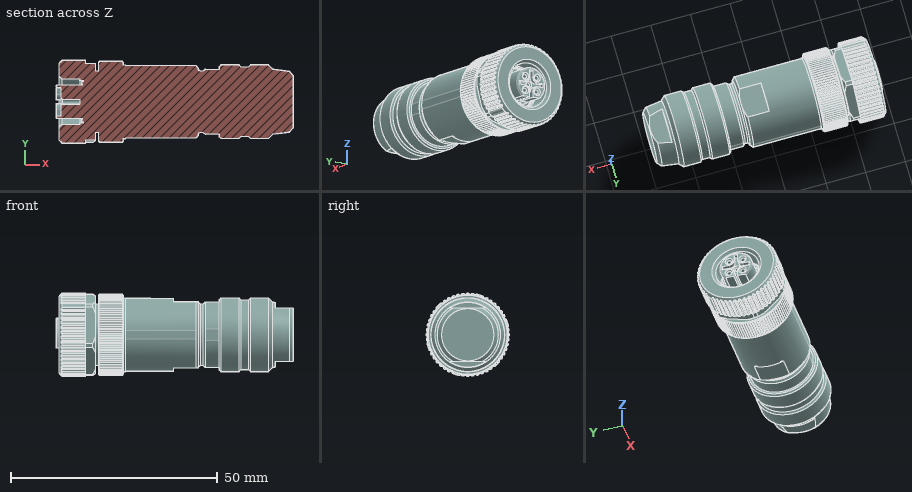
import cadquery as cq
import math

LENGTH = 57.6

NUT_FRONT = 0.7
NUT_KNURL_END = 7.2
NUT_END = 9.6
NUT_RADIUS = 20.2 / 2
NUT_FACE_RADIUS = 9.35
NUT_REAR_RADIUS = 9.4
NUT_GROOVES = 52
NUT_GROOVE_DEPTH = 0.3
NUT_CREST_SHARE = 0.3
NUT_ROOT_SHARE = 0.25
HEX_ACROSS_FLATS = 18.0
HEX_CORNER_ANGLE = 45.0

SOCKET_RADIUS = 10.95 / 2
SOCKET_MOUTH_RADIUS = 6.2
SOCKET_FLOOR_RADIUS = 5.1
SOCKET_STEP_X = 5.75
SOCKET_FLOOR_X = 6.6
SEAL_RADIUS = 4.55
SEAL_TUBE_RADIUS = 0.45

INSERT_RADIUS = 4.1
INSERT_ROUNDING = 0.35
INSERT_FLAT_Z = -3.2
INSERT_FLAT_END = 5.2
KEY_NOTCH_HALF_WIDTH = 0.6
KEY_NOTCH_Z = -3.6
KEY_NOTCH_DEPTH = 0.3
CROSS_HALF_WIDTH = 0.45
CROSS_REACH = 3.4
CROSS_DEPTH = 1.15
CONTACT_OFFSET = 1.7
CONTACT_BORE = 1.1
CONTACT_MOUTH = 1.85
CENTRE_MOUTH = 1.65
CONTACT_MOUTH_DEPTH = 0.4
CONTACT_DEPTH = 4.6

NECK_RADIUS = 15.0 / 2
RING_START = 10.25
RING_END = 16.35
RING_RADIUS = 9.85
RING_CHAMFER = 0.3
RING_GROOVES = 100
RING_GROOVE_DEPTH = 0.3

COLLAR_RADIUS = 18.0 / 2
COLLAR_END = 16.9
SLEEVE_RADIUS = 8.85
SLEEVE_TAPER_START = 33.9
SLEEVE_TAPER_END = 34.55
SLEEVE_TAPER_RADIUS = 8.1
SLEEVE_FOOT_RADIUS = 7.8
SLEEVE_END = 35.0
SIDE_FLAT_Y = 8.8
SIDE_FLAT_END = 34.0
WRENCH_FLAT_Z = 8.05
WRENCH_FLAT_START = 28.5

SHOULDER_START = 35.65
SHOULDER_CHAMFER_END = 36.25
SHOULDER_RADIUS = 8.0
SHOULDER_FLAT_Y = 7.9

CLAMP_START = 39.6
CLAMP_RADIUS = 18.0 / 2
CLAMP_CHAMFER = 0.45
WAIST_RADIUS = 17.0 / 2
WAIST_START = 44.35
WAIST_END = 47.25
CLAMP_TAPER_START = 51.5
CLAMP_END = 52.55

OUTLET_RADIUS = 7.95
OUTLET_RIM_X = 56.6
OUTLET_RIM_RADIUS = 14.8 / 2
OUTLET_END_RADIUS = 6.35
OUTLET_FLAT_START = 53.2
OUTLET_FLAT_Z = 6.5

CLEARANCE = 2.9


def revolve(points):
    """Turn a closed (x, radius) outline about the X axis."""
    return cq.Workplane("XY").polyline(points).close().revolve(360, (0, 0, 0), (1, 0, 0))


def cross_plane(x):
    """Plane across the axis: local x is -Y and local y is +Z, extruding toward -X."""
    return cq.Workplane(cq.Plane(origin=(x, 0, 0), xDir=(0, -1, 0), normal=(-1, 0, 0)))


def disc(x_start, x_end, radius):
    return cross_plane(x_end).circle(radius).extrude(x_end - x_start)


def box(x_range, y_range, z_range):
    size = [end - start for start, end in (x_range, y_range, z_range)]
    corner = (x_range[0], y_range[0], z_range[0])
    return cq.Workplane("XY").box(*size, centered=False).translate(corner)


def polar(radius, degrees):
    angle = math.radians(degrees)
    return (radius * math.cos(angle), radius * math.sin(angle))


def knurl(x_start, x_end, radius, depth, count, crest_share=0, root_share=0, plain_angles=()):
    """Bar grooved along its length, with a crest centred on each whole pitch.

    The groove is left out where its middle lies close to one of the plain angles.
    """
    pitch = 360.0 / count
    half_crest = pitch * crest_share / 2
    half_root = pitch * root_share / 2
    points = []
    for index in range(count):
        crest = index * pitch
        root = crest + pitch / 2
        crest_angles = (crest - half_crest, crest + half_crest) if half_crest else (crest,)
        root_angles = (root - half_root, root + half_root) if half_root else (root,)
        points += [polar(radius, angle) for angle in crest_angles]
        if all(abs(root - plain) > pitch / 2 for plain in plain_angles):
            points += [polar(radius - depth, angle) for angle in root_angles]
    return cross_plane(x_end).polyline(points).close().extrude(x_end - x_start)


def flat_pair(solid, axis, distance, x_start, x_end):
    """Cut two opposite flats at +-distance along the given axis ("Y" or "Z")."""
    reach = NUT_RADIUS + CLEARANCE
    for side in (-1, 1):
        across = tuple(sorted((side * distance, side * reach)))
        along = (-reach, reach)
        y_range, z_range = (across, along) if axis == "Y" else (along, across)
        solid = solid.cut(box((x_start, x_end), y_range, z_range))
    return solid


def coupling_nut():
    envelope = revolve([
        (NUT_FRONT, 0),
        (NUT_FRONT, NUT_FACE_RADIUS),
        (NUT_FRONT + NUT_RADIUS - NUT_FACE_RADIUS, NUT_RADIUS),
        (NUT_END - (NUT_RADIUS - NUT_REAR_RADIUS), NUT_RADIUS),
        (NUT_END, NUT_REAR_RADIUS),
        (NUT_END, 0),
    ])
    grip = knurl(
        NUT_FRONT, NUT_KNURL_END, NUT_RADIUS, NUT_GROOVE_DEPTH, NUT_GROOVES,
        NUT_CREST_SHARE, NUT_ROOT_SHARE,
        plain_angles=(HEX_CORNER_ANGLE, HEX_CORNER_ANGLE + 180),
    )
    corner_radius = HEX_ACROSS_FLATS / 2 / math.cos(math.radians(30))
    corners = [polar(corner_radius, HEX_CORNER_ANGLE + 60 * index) for index in range(6)]
    hexagon = cross_plane(NUT_END).polyline(corners).close().extrude(NUT_END - NUT_KNURL_END)
    return grip.union(hexagon).intersect(envelope)


def socket():
    mouth_depth = SOCKET_MOUTH_RADIUS - SOCKET_RADIUS
    return revolve([
        (NUT_FRONT, 0),
        (NUT_FRONT, SOCKET_MOUTH_RADIUS),
        (NUT_FRONT + mouth_depth, SOCKET_RADIUS),
        (SOCKET_STEP_X, SOCKET_RADIUS),
        (SOCKET_STEP_X, SOCKET_FLOOR_RADIUS),
        (SOCKET_FLOOR_X, SOCKET_FLOOR_RADIUS),
        (SOCKET_FLOOR_X, 0),
    ])


def seal():
    return (
        cq.Workplane("XY")
        .center(SOCKET_FLOOR_X, SEAL_RADIUS)
        .circle(SEAL_TUBE_RADIUS)
        .revolve(360, (0, -SEAL_RADIUS, 0), (1, -SEAL_RADIUS, 0))
    )


def contact_hole(mouth, y, z):
    hole = revolve([
        (0, 0),
        (0, mouth / 2),
        (CONTACT_MOUTH_DEPTH, CONTACT_BORE / 2),
        (CONTACT_DEPTH, CONTACT_BORE / 2),
        (CONTACT_DEPTH, 0),
    ])
    return hole.translate((0, y, z))


def cross_recess():
    """Cross between the contacts; its inner corners are rounded about the contacts."""
    reach = CROSS_REACH
    half = CROSS_HALF_WIDTH
    depth = (0, CROSS_DEPTH)
    recess = box(depth, (-reach, reach), (-half, half))
    recess = recess.union(box(depth, (-half, half), (-reach, reach)))
    middle = cq.selectors.BoxSelector((-reach, -2 * half, -2 * half), (reach, 2 * half, 2 * half))
    recess = recess.edges("|X").edges(middle).fillet(CONTACT_OFFSET - half)
    return recess.union(box((0, INSERT_FLAT_END), (-half, half), (-reach, -CENTRE_MOUTH)))


def insert():
    body = disc(0, SOCKET_FLOOR_X + CLEARANCE, INSERT_RADIUS).faces("<X").edges().fillet(INSERT_ROUNDING)
    below_flat = (INSERT_FLAT_Z - CLEARANCE, INSERT_FLAT_Z)
    body = body.cut(box((0, INSERT_FLAT_END), (-INSERT_RADIUS, INSERT_RADIUS), below_flat))
    key_depth = (INSERT_FLAT_END, INSERT_FLAT_END + KEY_NOTCH_DEPTH)
    key_width = (-KEY_NOTCH_HALF_WIDTH, KEY_NOTCH_HALF_WIDTH)
    body = body.cut(box(key_depth, key_width, (-INSERT_RADIUS, KEY_NOTCH_Z)))
    body = body.cut(cross_recess())
    for y in (-CONTACT_OFFSET, CONTACT_OFFSET):
        for z in (-CONTACT_OFFSET, CONTACT_OFFSET):
            body = body.cut(contact_hole(CONTACT_MOUTH, y, z))
    centre = contact_hole(CENTRE_MOUTH, 0, 0).translate((CROSS_DEPTH, 0, 0))
    return body.cut(centre)


def knurled_ring():
    envelope = revolve([
        (RING_START, 0),
        (RING_START, RING_RADIUS - RING_CHAMFER),
        (RING_START + RING_CHAMFER, RING_RADIUS),
        (RING_END - RING_CHAMFER, RING_RADIUS),
        (RING_END, RING_RADIUS - RING_CHAMFER),
        (RING_END, 0),
    ])
    teeth = knurl(RING_START, RING_END, RING_RADIUS, RING_GROOVE_DEPTH, RING_GROOVES)
    return teeth.intersect(envelope)


def sleeve():
    body = revolve([
        (RING_END, 0),
        (RING_END, SLEEVE_RADIUS),
        (SLEEVE_TAPER_START, SLEEVE_RADIUS),
        (SLEEVE_TAPER_END, SLEEVE_TAPER_RADIUS),
        (SLEEVE_TAPER_END, SLEEVE_FOOT_RADIUS),
        (SLEEVE_END, NECK_RADIUS),
        (SLEEVE_END, 0),
    ])
    body = flat_pair(body, "Y", SIDE_FLAT_Y, COLLAR_END, SIDE_FLAT_END)
    body = flat_pair(body, "Z", WRENCH_FLAT_Z, WRENCH_FLAT_START, SLEEVE_END)
    return body.union(disc(RING_END, COLLAR_END, COLLAR_RADIUS))


def shoulder():
    body = revolve([
        (SHOULDER_START, 0),
        (SHOULDER_START, NECK_RADIUS),
        (SHOULDER_CHAMFER_END, SHOULDER_RADIUS),
        (CLAMP_START, SHOULDER_RADIUS),
        (CLAMP_START, 0),
    ])
    return flat_pair(body, "Y", SHOULDER_FLAT_Y, SHOULDER_CHAMFER_END, CLAMP_START)


def clamping_nut():
    waist_slope = CLAMP_RADIUS - WAIST_RADIUS
    return revolve([
        (CLAMP_START, 0),
        (CLAMP_START, CLAMP_RADIUS - CLAMP_CHAMFER),
        (CLAMP_START + CLAMP_CHAMFER, CLAMP_RADIUS),
        (WAIST_START, CLAMP_RADIUS),
        (WAIST_START + waist_slope, WAIST_RADIUS),
        (WAIST_END - waist_slope, WAIST_RADIUS),
        (WAIST_END, CLAMP_RADIUS),
        (CLAMP_TAPER_START, CLAMP_RADIUS),
        (CLAMP_END, OUTLET_RADIUS),
        (CLAMP_END, 0),
    ])


def cable_outlet():
    body = revolve([
        (CLAMP_END, 0),
        (CLAMP_END, OUTLET_RADIUS),
        (OUTLET_RIM_X, OUTLET_RIM_RADIUS),
        (LENGTH, OUTLET_END_RADIUS),
        (LENGTH, 0),
    ])
    return flat_pair(body, "Z", OUTLET_FLAT_Z, OUTLET_FLAT_START, LENGTH)


core = disc(NUT_END - CLEARANCE, CLAMP_START, NECK_RADIUS)
result = coupling_nut().union(core).cut(socket())
for component in (
    seal(), insert(), knurled_ring(), sleeve(), shoulder(), clamping_nut(), cable_outlet()
):
    result = result.union(component)